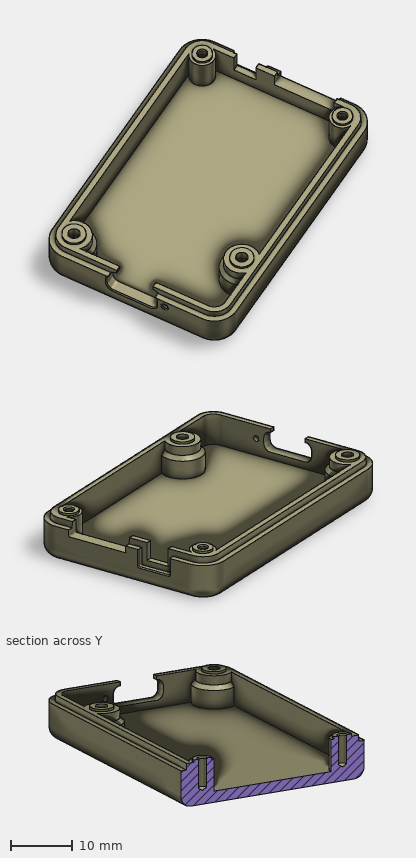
import cadquery as cq
import math

LENGTH_X = 34.58
LENGTH_Y = 50.94
POST_TOP = 7.89
LIP_TOP = 7.49
STEP_Z = 6.4
FLOOR_Z = 2.0
CORNER_RADIUS = 4.15
BOTTOM_FILLET = 2.0
LIP_INSET = 1.0
LIP_TOP_INSET = 1.1
WALL = 2.1

POST_X = 13.17
POST_Y = 21.4
SIDE_BOSS_Y = -12.2
COLUMN_DIAMETER = 4.4
COLUMN_PAD_DIAMETER = 3.4
BOSS_DIAMETER = 7.45
BOSS_NECK_DIAMETER = 6.0
BOSS_PAD_DIAMETER = 4.0
BOSS_SHOULDER_Z = 5.2
BOSS_SHOULDER_CHAMFER = (BOSS_DIAMETER - BOSS_NECK_DIAMETER) / 2
SCREW_DIAMETER = 2.0
PILOT_DIAMETER = 1.4
PILOT_MOUTH_DIAMETER = 1.8
PILOT_DEPTH = 5.0
DRILL_POINT_ANGLE = 118

FRONT_PORT_X = -0.07
FRONT_PORT_WIDTH = 9.4
FRONT_PORT_BOTTOM = 3.3
FRONT_PORT_TOP = 6.85
PORT_CORNER_RADIUS = 1.3
PORT_CHAMFER = 0.2

PIN_HOLE_X = 6.12
PIN_HOLE_Z = 5.04
PIN_HOLE_DIAMETER = 1.0
PIN_HOLE_MOUTH_DIAMETER = 1.4

REAR_PORT_X = -6.27
REAR_PORT_WIDTH = 4.12
REAR_PORT_BOTTOM = 4.32
REAR_RECESS_WIDTH = 6.1
REAR_RECESS_BOTTOM = 3.3
REAR_CORNER_RADIUS = 0.2

NOTCH_LEFT = -0.7
NOTCH_RIGHT = 10.5
NOTCH_BOTTOM = 5.18
NOTCH_CORNER_RADIUS = 0.15


def rounded_block(inset, bottom, top):
    """Block with the shell outline moved inward by inset."""
    return (
        cq.Workplane("XY")
        .workplane(offset=bottom)
        .rect(LENGTH_X - 2 * inset, LENGTH_Y - 2 * inset)
        .extrude(top - bottom)
        .edges("|Z")
        .fillet(CORNER_RADIUS - inset)
    )


def cylinder(x, y, diameter, bottom, top):
    return cq.Workplane("XY", origin=(x, y, bottom)).circle(diameter / 2).extrude(top - bottom)


def wall_box(left, right, y_start, y_end, bottom, top):
    return cq.Workplane("XY").box(
        right - left, y_end - y_start, top - bottom, centered=False
    ).translate((left, y_start, bottom))


def shell():
    body = rounded_block(0, 0, STEP_Z).faces("<Z").edges().fillet(BOTTOM_FILLET)
    lip_draft = math.degrees(math.atan2(LIP_TOP_INSET - LIP_INSET, LIP_TOP - STEP_Z))
    lip = (
        cq.Workplane("XY", origin=(0, 0, STEP_Z))
        .sketch()
        .rect(LENGTH_X - 2 * LIP_INSET, LENGTH_Y - 2 * LIP_INSET)
        .vertices()
        .fillet(CORNER_RADIUS - LIP_INSET)
        .finalize()
        .extrude(LIP_TOP - STEP_Z, taper=lip_draft)
    )
    body = body.union(lip)
    return body.cut(rounded_block(WALL, FLOOR_Z, LIP_TOP))


def column(x, y):
    """Slim post with a raised pad."""
    post = cylinder(x, y, COLUMN_DIAMETER, FLOOR_Z, LIP_TOP)
    return post.union(cylinder(x, y, COLUMN_PAD_DIAMETER, LIP_TOP, POST_TOP))


def pilot_hole(x, y):
    """Blind screw hole with a countersunk mouth and a drill-point bottom."""
    radius = PILOT_DIAMETER / 2
    mouth_radius = PILOT_MOUTH_DIAMETER / 2
    mouth_z = POST_TOP - (mouth_radius - radius)
    straight_end = POST_TOP - PILOT_DEPTH
    point_z = straight_end - radius / math.tan(math.radians(DRILL_POINT_ANGLE / 2))
    profile = [
        (0, point_z),
        (radius, straight_end),
        (radius, mouth_z),
        (mouth_radius, POST_TOP),
        (0, POST_TOP),
    ]
    return (
        cq.Workplane("XZ")
        .polyline(profile)
        .close()
        .revolve()
        .translate((x, y, 0))
    )


def boss(x, y):
    """Wide boss with a conical shoulder, a neck and a raised pad."""
    shoulder = (
        cq.Workplane("XY", origin=(x, y, BOSS_SHOULDER_Z))
        .circle(BOSS_DIAMETER / 2)
        .workplane(offset=BOSS_SHOULDER_CHAMFER)
        .circle(BOSS_NECK_DIAMETER / 2)
        .loft()
    )
    base = cylinder(x, y, BOSS_DIAMETER, FLOOR_Z, BOSS_SHOULDER_Z).union(shoulder)
    base = base.union(cylinder(x, y, BOSS_NECK_DIAMETER, FLOOR_Z, LIP_TOP))
    return base.union(cylinder(x, y, BOSS_PAD_DIAMETER, LIP_TOP, POST_TOP))


def port_tool(x, width, bottom, top, depth, corner_radius):
    """Rounded opening cut inward from the -Y face, with a chamfered mouth."""

    def section(y, growth):
        return (
            cq.Workplane("XZ", origin=(x, y, (bottom + top) / 2))
            .sketch()
            .rect(width + 2 * growth, top - bottom + 2 * growth)
            .vertices()
            .fillet(corner_radius + growth)
            .finalize()
        )

    outer_y = -LENGTH_Y / 2
    opening = section(outer_y + depth, 0).extrude(depth)
    mouth = section(outer_y, PORT_CHAMFER).extrude(-PORT_CHAMFER, taper=45)
    return opening.union(mouth)


def front_port():
    opening = port_tool(
        FRONT_PORT_X, FRONT_PORT_WIDTH, FRONT_PORT_BOTTOM, FRONT_PORT_TOP, WALL, PORT_CORNER_RADIUS
    )
    half_gap = FRONT_PORT_WIDTH / 2 - PORT_CORNER_RADIUS
    outer_y = -LENGTH_Y / 2
    lip_gap = wall_box(
        FRONT_PORT_X - half_gap, FRONT_PORT_X + half_gap, outer_y, outer_y + WALL, STEP_Z, POST_TOP
    )
    return opening.union(lip_gap)


def pin_hole():
    """Round hole through the -Y wall with a countersunk mouth."""
    mouth_depth = (PIN_HOLE_MOUTH_DIAMETER - PIN_HOLE_DIAMETER) / 2
    face = cq.Workplane("XZ", origin=(PIN_HOLE_X, -LENGTH_Y / 2, PIN_HOLE_Z))
    hole = face.circle(PIN_HOLE_DIAMETER / 2).extrude(-WALL)
    mouth = face.circle(PIN_HOLE_MOUTH_DIAMETER / 2).extrude(-mouth_depth, taper=45)
    return hole.union(mouth)


def rear_port():
    outer_y = LENGTH_Y / 2
    half_width = REAR_PORT_WIDTH / 2
    opening = wall_box(
        REAR_PORT_X - half_width, REAR_PORT_X + half_width,
        outer_y - WALL, outer_y, REAR_PORT_BOTTOM, POST_TOP,
    )
    recess = port_tool(
        REAR_PORT_X, REAR_RECESS_WIDTH, REAR_RECESS_BOTTOM, LIP_TOP, LIP_INSET, REAR_CORNER_RADIUS
    )
    return opening.union(recess.mirror("XZ"))


def rear_notch():
    outer_y = LENGTH_Y / 2
    notch = wall_box(
        NOTCH_LEFT, NOTCH_RIGHT, outer_y - WALL, outer_y, NOTCH_BOTTOM, POST_TOP
    )
    return notch.faces("<Z").edges("|Y").fillet(NOTCH_CORNER_RADIUS)


column_places = [(-POST_X, POST_Y), (POST_X, POST_Y)]
boss_places = [(-POST_X, -POST_Y), (POST_X, SIDE_BOSS_Y)]

result = shell()
bosses = [boss(x, y) for x, y in boss_places]
columns = [column(x, y) for x, y in column_places]
post_limit = rounded_block(LIP_TOP_INSET, FLOOR_Z, POST_TOP)
for support in bosses + columns:
    result = result.union(support.intersect(post_limit))
for x, y in column_places:
    result = result.cut(pilot_hole(x, y))
for x, y in boss_places:
    result = result.cut(cylinder(x, y, SCREW_DIAMETER, 0, POST_TOP))
for opening in (front_port(), pin_hole(), rear_port(), rear_notch()):
    result = result.cut(opening)